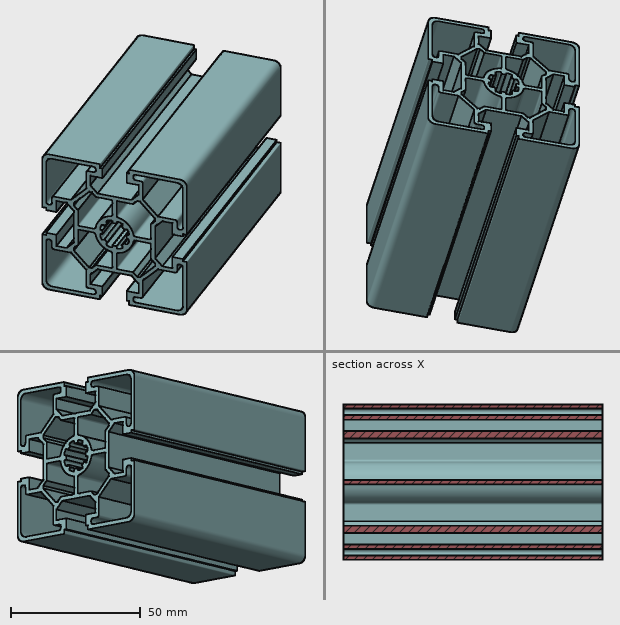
import cadquery as cq
import math

SIDE = 60.0
LENGTH = 100.0
OUTER_RADIUS = 3.0
WALL = 1.7
HALF = SIDE / 2
HALF_WALL = WALL / 2

MOUTH_HALF_WIDTH = 5.0
MOUTH_STEP = 1.0
MOUTH_EDGE_RADIUS = 0.3
LIP_DEPTH = 6.0
SLOT_HALF_WIDTH = 10.0
SLOT_FLOOR = 16.8
SLOT_CHAMFER = 3.0

WEB_DISTANCE = 21.0
LIP_WALL = 1.9
HOLLOW_END = 7.7
HOLLOW_CORNER_RADIUS = 2.5
HOLLOW_BEND_RADIUS = 0.9

CHAMBER_RIB_RADIUS = 0.6
CHAMBER_RING_RADIUS = 1.0

RING_RADIUS = 8.0
BORE_RADIUS = 6.2
TOOTH_COUNT = 8
TOOTH_TIP = 5.0
TOOTH_WIDTH = 1.8
TOOTH_ROOT_RADIUS = 0.6

DIAGONAL = math.sqrt(2)


def extrude(sketch):
    """Extrude an XZ profile over the full length, centred on the origin."""
    return sketch.extrude(LENGTH / 2, both=True)


def prism(points):
    return extrude(cq.Workplane("XZ").polyline(points).close())


def round_edges(body, points, radius):
    """Round the lengthwise edges that pass through the given (x, z) points."""
    for x, z in points:
        body = body.edges(cq.NearestToPointSelector((x, 0, z))).fillet(radius)
    return body


def mirrored(points):
    """The same points reflected across the quadrant diagonal."""
    return [(z, x) for x, z in points]


def cut_on_each_side(body, cutter):
    for turn in range(4):
        body = body.cut(cutter.rotate((0, 0, 0), (0, 1, 0), 90 * turn))
    return body


def make_slot():
    """T-slot in the +Z side with a stepped mouth and chamfered floor corners."""
    step_half_width = MOUTH_HALF_WIDTH + MOUTH_STEP
    right_half = [
        (step_half_width, HALF),
        (step_half_width, HALF - WALL),
        (MOUTH_HALF_WIDTH, HALF - WALL),
        (MOUTH_HALF_WIDTH, HALF - LIP_DEPTH),
        (SLOT_HALF_WIDTH, HALF - LIP_DEPTH),
        (SLOT_HALF_WIDTH, SLOT_FLOOR + SLOT_CHAMFER),
        (SLOT_HALF_WIDTH - SLOT_CHAMFER, SLOT_FLOOR),
    ]
    left_half = [(-x, z) for x, z in reversed(right_half)]
    return prism(right_half + left_half)


slot_wall_back = SLOT_HALF_WIDTH + WALL

web_outer_sum = WEB_DISTANCE * DIAGONAL
web_inner_sum = web_outer_sum - WALL * DIAGONAL


def make_corner_hollow():
    """Hollow of the +X +Z corner with two narrow, fully rounded ends."""
    wall = HALF - WALL
    lip_back = HALF - LIP_DEPTH + LIP_WALL
    end_middle = (wall + lip_back) / 2
    end_radius = (wall - lip_back) / 2
    arc_start = HOLLOW_END + end_radius
    hollow = extrude(
        cq.Workplane("XZ")
        .moveTo(arc_start, wall)
        .lineTo(wall, wall)
        .lineTo(wall, arc_start)
        .threePointArc((end_middle, HOLLOW_END), (lip_back, arc_start))
        .lineTo(lip_back, slot_wall_back)
        .lineTo(web_outer_sum - slot_wall_back, slot_wall_back)
        .lineTo(slot_wall_back, web_outer_sum - slot_wall_back)
        .lineTo(slot_wall_back, lip_back)
        .lineTo(arc_start, lip_back)
        .threePointArc((HOLLOW_END, end_middle), (arc_start, wall))
        .close()
    )
    hollow = round_edges(hollow, [(wall, wall)], HOLLOW_CORNER_RADIUS)
    bend = [(slot_wall_back, lip_back)]
    return round_edges(hollow, bend + mirrored(bend), HOLLOW_BEND_RADIUS)


def make_chamber():
    """Chamber of the +X +Z quadrant, bounded by ribs, slots, web and core ring."""
    ceiling = SLOT_FLOOR - WALL
    slope_offset = SLOT_FLOOR + SLOT_CHAMFER - SLOT_HALF_WIDTH - WALL * DIAGONAL
    upper_half = [
        (HALF_WALL, ceiling),
        (ceiling - slope_offset, ceiling),
        (SLOT_FLOOR - slope_offset, SLOT_FLOOR),
        (web_inner_sum - SLOT_FLOOR, SLOT_FLOOR),
    ]
    outline = [(HALF_WALL, HALF_WALL)] + upper_half + mirrored(reversed(upper_half))
    ring = extrude(cq.Workplane("XZ").circle(RING_RADIUS))
    chamber = prism(outline).cut(ring)
    rib_top = [(HALF_WALL, ceiling)]
    rib_foot = [(HALF_WALL, math.sqrt(RING_RADIUS**2 - HALF_WALL**2))]
    chamber = round_edges(chamber, rib_top + mirrored(rib_top), CHAMBER_RIB_RADIUS)
    return round_edges(chamber, rib_foot + mirrored(rib_foot), CHAMBER_RING_RADIUS)


def make_core_bore():
    """Round bore with inward teeth spaced evenly around it."""
    bore = extrude(cq.Workplane("XZ").circle(BORE_RADIUS))
    tooth_length = BORE_RADIUS
    tooth = extrude(
        cq.Workplane("XZ")
        .center(0, TOOTH_TIP + tooth_length / 2)
        .rect(TOOTH_WIDTH, tooth_length)
    )
    for index in range(TOOTH_COUNT):
        bore = bore.cut(tooth.rotate((0, 0, 0), (0, 1, 0), index * 360 / TOOTH_COUNT))
    half_width = TOOTH_WIDTH / 2
    root_radial = math.sqrt(BORE_RADIUS**2 - half_width**2)
    root_angle = math.atan2(half_width, root_radial)
    roots = []
    for index in range(TOOTH_COUNT):
        for side in (-1, 1):
            angle = index * 2 * math.pi / TOOTH_COUNT + side * root_angle
            roots.append((BORE_RADIUS * math.cos(angle), BORE_RADIUS * math.sin(angle)))
    return round_edges(bore, roots, TOOTH_ROOT_RADIUS)


bar = extrude(cq.Workplane("XZ").rect(SIDE, SIDE)).edges("|Y").fillet(OUTER_RADIUS)
bar = cut_on_each_side(bar, make_slot())

mouth_edge = MOUTH_HALF_WIDTH + MOUTH_STEP
mouth_edges = []
for side in (-HALF, HALF):
    for offset in (-mouth_edge, mouth_edge):
        mouth_edges += [(side, offset), (offset, side)]
bar = round_edges(bar, mouth_edges, MOUTH_EDGE_RADIUS)

bar = cut_on_each_side(bar, make_corner_hollow())
bar = cut_on_each_side(bar, make_chamber())
result = bar.cut(make_core_bore())